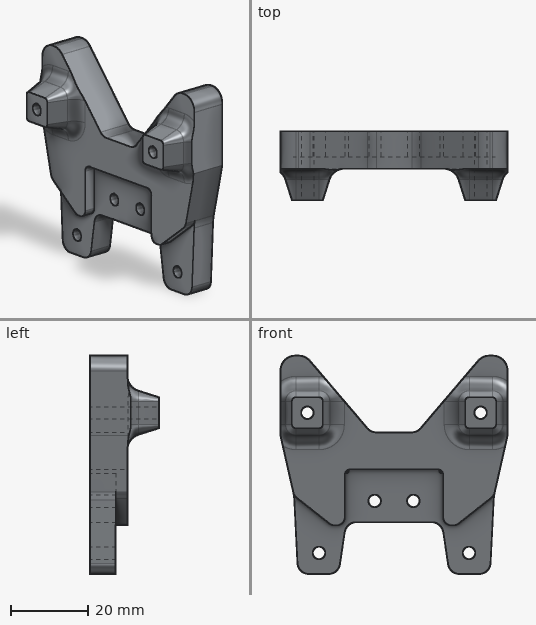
import cadquery as cq
import math

plate_depth = 6.7
body_depth = 9.8
total_depth = 18.0

half_width = 29.5
height = 56.8
arm_round = 3.95
arm_top_inner_x = 23
notch_half_width = 6.0
notch_z = 36.85
shoulder_z = 36
waist_x = 26
waist_z = 20.35
notch_round = 3.0
leg_round = 3.0
waist_leg_round = 11.8
foot_outer_x = 25.0
foot_inner_x = 14.4
bridge_z = 13.45
bridge_half_width = 12.4

pocket_half_width = 12.8
pocket_top_z = 27.2
pocket_round = 1.6
lobe_z = 12.7
lobe_outer_x = 16.25
lobe_round = 2.0
waist_lobe_round = 3.0

boss_x = 22.5
boss_z = 41.9
boss_tip_width = 8.0
boss_tip_round = 1.0
boss_draft = 17.7
boss_base_fillet = 3.95

hole_diameter = 3.2
bridge_hole_x = 5.0
bridge_hole_z = 19.0
leg_hole_x = 19.5
leg_hole_z = 5.5
relief_diameter = 1.0


def rounded_corner(before, corner, after, radius):
    """Return start, middle and end of the arc that rounds a corner."""
    to_before = (cq.Vector(*before) - cq.Vector(*corner)).normalized()
    to_after = (cq.Vector(*after) - cq.Vector(*corner)).normalized()
    half_angle = to_before.getAngle(to_after) / 2
    tangent_length = radius / math.tan(half_angle)
    centre_distance = radius / math.sin(half_angle)
    bisector = (to_before + to_after).normalized()
    vertex = cq.Vector(*corner)
    points = (
        vertex + to_before * tangent_length,
        vertex + bisector * (centre_distance - radius),
        vertex + to_after * tangent_length,
    )
    return [(point.x, point.y) for point in points]


def rounded_prism(corners, depth):
    """Extrude a closed outline of (x, z, corner radius) forward from the back face."""
    x, z, _ = corners[0]
    outline = cq.Workplane("XZ").moveTo(x, z)
    for i in range(1, len(corners)):
        x, z, radius = corners[i]
        if radius == 0:
            outline = outline.lineTo(x, z)
            continue
        following = corners[(i + 1) % len(corners)]
        start, middle, end = rounded_corner(corners[i - 1][:2], (x, z), following[:2], radius)
        outline = outline.lineTo(*start).threePointArc(middle, end)
    return outline.close().extrude(depth)


def hole_cylinder(x, z, diameter, depth):
    """Cylinder running forward from the back face, used to cut a hole."""
    return cq.Workplane("XZ").center(x, z).circle(diameter / 2).extrude(depth)


def boss_on_slab():
    """Drafted boss blended into a slab that is larger than the blend."""
    boss_height = total_depth - body_depth
    flare = boss_height * math.tan(math.radians(boss_draft))
    slab_border = 2 * boss_base_fillet
    base_width = boss_tip_width + 2 * flare
    slab_width = base_width + 2 * slab_border
    slab = cq.Workplane("XZ").center(boss_x, boss_z).rect(slab_width, slab_width).extrude(body_depth)
    base_outline = cq.Sketch().rect(base_width, base_width).vertices().fillet(boss_tip_round + flare)
    boss = (
        cq.Workplane("XZ", origin=(boss_x, -body_depth, boss_z))
        .placeSketch(base_outline)
        .extrude(boss_height, taper=boss_draft)
    )
    margin = 0.05
    base_region = cq.selectors.BoxSelector(
        (boss_x - base_width, -body_depth - margin, boss_z - base_width),
        (boss_x + base_width, -body_depth + margin, boss_z + base_width),
    )
    joined = slab.union(boss)
    base_edges = joined.faces("<Y[1]").edges(base_region)
    return joined.newObject(base_edges.vals()).fillet(boss_base_fillet)


upper_corners = [
    (0, notch_z, 0),
    (notch_half_width, notch_z, notch_round),
    (arm_top_inner_x, height, arm_round),
    (half_width, height, arm_round),
    (half_width, shoulder_z, 0),
]
plate_corners = upper_corners + [
    (waist_x, waist_z, waist_leg_round),
    (foot_outer_x, 0, leg_round),
    (foot_inner_x, 0, leg_round),
    (bridge_half_width, bridge_z, leg_round),
    (0, bridge_z, 0),
]
body_corners = upper_corners + [
    (waist_x, waist_z, waist_lobe_round),
    (lobe_outer_x, lobe_z, lobe_round),
    (pocket_half_width, lobe_z, lobe_round),
    (pocket_half_width, pocket_top_z, pocket_round),
    (0, pocket_top_z, 0),
]

plate = rounded_prism(plate_corners, plate_depth)
body = rounded_prism(body_corners, body_depth)
boss = boss_on_slab().intersect(rounded_prism(body_corners, total_depth))
half = plate.union(body).union(boss)

for hole_x, hole_z in [(boss_x, boss_z), (bridge_hole_x, bridge_hole_z), (leg_hole_x, leg_hole_z)]:
    half = half.cut(hole_cylinder(hole_x, hole_z, hole_diameter, total_depth))

relief_inset = pocket_round * (1 - 1 / math.sqrt(2))
relief_x = pocket_half_width - relief_inset
relief_z = pocket_top_z - relief_inset
half = half.cut(hole_cylinder(relief_x, relief_z, relief_diameter, plate_depth))

result = half.union(half.mirror("YZ")).clean()